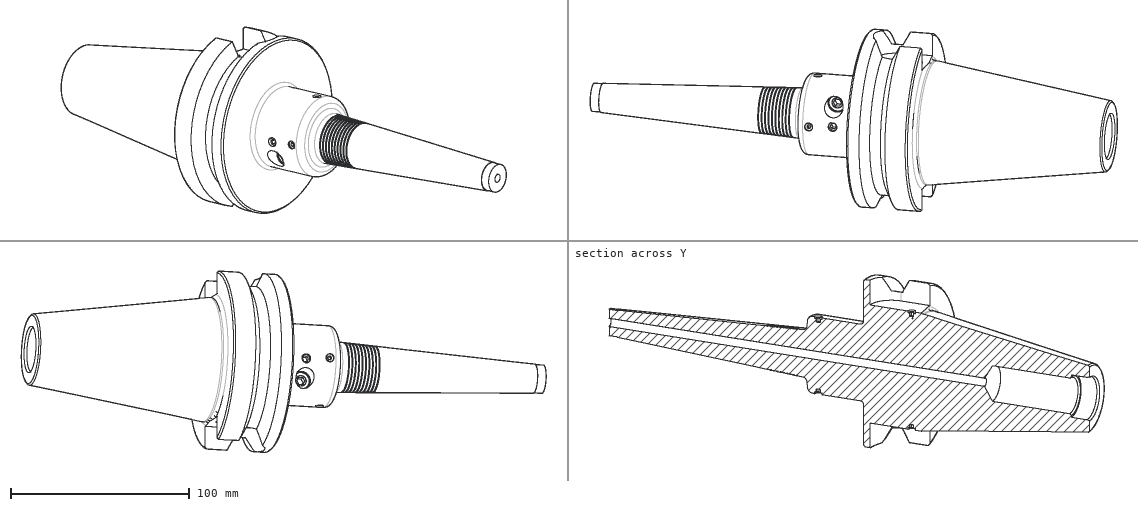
import cadquery as cq
import math


gauge_radius = 69.85 / 2
taper_length = 101.8
taper_slope = 7 / 48
shank_end_radius = gauge_radius - taper_length * taper_slope
shank_end_chamfer = 0.9

flange_radius = 50.0
flange_start = 3.0
flange_end = 38.0
flange_chamfer = 1.0
root_fillet = 2.0
groove_centre = 23.1
groove_floor_radius = 42.5
groove_floor_width = 6.2
groove_half_angle = math.radians(30)

slot_width = 25.7
slot_floor = 35.3
slot_end = 33.7

body_radius = 23.0
body_end = 73.0
body_root_fillet = 2.0
body_end_fillet = 3.4
end_face_rise = 0.3

tip_x = 195.0
tip_radius = 8.0
tip_length = 5.0
nose_slope = math.tan(math.radians(3))
nose_root_fillet = 2.5

ring_first_x = 78.97
ring_pitch = 2.0
ring_count = 10
ring_width = 0.45
ring_depth = 0.3
ring_clearance = 1.0

pilot_radius = 12.5
pilot_depth = 11.2
pilot_chamfer = 0.5
pilot_chamfer_length = 1.5
lead_in_radius = 11.5
drill_radius = 10.5
drill_depth = 60.0
drill_tip_half_angle = math.radians(59)
coolant_diameter = 4.6

screw_diameter = 4.5
screw_recess = 1.0
screw_hex = 2.0
screw_hex_depth = 2.0
body_screw_x = 65.9
slot_screw_x = 8.2

clamp_x = 52.1
clamp_offset = 11.6
clamp_diameter = 10.5
clamp_floor = 12.0
clamp_seat_diameter = 9.4
clamp_seat_depth = 0.5
clamp_socket_rim_diameter = 6.0
clamp_socket_rim_depth = 0.5
clamp_hex = 4.0
clamp_hex_depth = 4.0
filler_diameter = 5.0
filler_offset = 1.1
filler_recess = 2.0
filler_hex = 3.0
filler_hex_depth = 3.0


def nose_radius(x):
    """Radius of the nose cone, which would reach the tip radius at the tip face."""
    return tip_radius + (tip_x - x) * nose_slope


def arc_middle(centre_x, centre_r, radius, angle):
    """Point of a profile arc at the given angle in degrees from +X about its centre."""
    turn_angle = math.radians(angle)
    return centre_x + radius * math.cos(turn_angle), centre_r + radius * math.sin(turn_angle)


def revolve_x(profile):
    return profile.close().revolve(360, (0, 0, 0), (1, 0, 0))


def turned_body():
    groove_half_floor = groove_floor_width / 2
    groove_depth = flange_radius - groove_floor_radius
    groove_half_mouth = groove_half_floor + groove_depth * math.tan(groove_half_angle)
    nose_root_end = body_end + nose_root_fillet
    nose_root_radius = nose_radius(nose_root_end)
    shoulder_x = body_end - end_face_rise
    profile = (
        cq.Workplane("XY")
        .moveTo(-taper_length, 0)
        .lineTo(-taper_length, shank_end_radius - shank_end_chamfer)
        .lineTo(-taper_length + shank_end_chamfer, shank_end_radius)
        .lineTo(0, gauge_radius)
        .lineTo(flange_start - root_fillet, gauge_radius)
        .threePointArc(
            arc_middle(flange_start - root_fillet, gauge_radius + root_fillet, root_fillet, -45),
            (flange_start, gauge_radius + root_fillet),
        )
        .lineTo(flange_start, flange_radius - flange_chamfer)
        .lineTo(flange_start + flange_chamfer, flange_radius)
        .lineTo(groove_centre - groove_half_mouth, flange_radius)
        .lineTo(groove_centre - groove_half_floor, groove_floor_radius)
        .lineTo(groove_centre + groove_half_floor, groove_floor_radius)
        .lineTo(groove_centre + groove_half_mouth, flange_radius)
        .lineTo(flange_end - flange_chamfer, flange_radius)
        .lineTo(flange_end, flange_radius - flange_chamfer)
        .lineTo(flange_end, body_radius + body_root_fillet)
        .threePointArc(
            arc_middle(flange_end + body_root_fillet, body_radius + body_root_fillet, body_root_fillet, 225),
            (flange_end + body_root_fillet, body_radius),
        )
        .lineTo(shoulder_x - body_end_fillet, body_radius)
        .threePointArc(
            arc_middle(shoulder_x - body_end_fillet, body_radius - body_end_fillet, body_end_fillet, 45),
            (shoulder_x, body_radius - body_end_fillet),
        )
        .lineTo(body_end, nose_root_radius + nose_root_fillet)
        .threePointArc(
            arc_middle(nose_root_end, nose_root_radius + nose_root_fillet, nose_root_fillet, 225),
            (nose_root_end, nose_root_radius),
        )
        .lineTo(tip_x - tip_length, nose_radius(tip_x - tip_length))
        .lineTo(tip_x - tip_length, tip_radius)
        .lineTo(tip_x, tip_radius)
        .lineTo(tip_x, 0)
    )
    return revolve_x(profile)


def rear_bore():
    pilot_end = -taper_length + pilot_depth
    drill_end = -taper_length + drill_depth
    profile = (
        cq.Workplane("XY")
        .moveTo(-taper_length, 0)
        .lineTo(-taper_length, pilot_radius + pilot_chamfer)
        .lineTo(-taper_length + pilot_chamfer_length, pilot_radius)
        .lineTo(pilot_end, pilot_radius)
        .lineTo(pilot_end, lead_in_radius)
        .lineTo(pilot_end + lead_in_radius - drill_radius, drill_radius)
        .lineTo(drill_end, drill_radius)
        .lineTo(drill_end + drill_radius / math.tan(drill_tip_half_angle), 0)
    )
    return revolve_x(profile)


def coolant_hole():
    return (
        cq.Workplane("YZ", origin=(-taper_length, 0, 0))
        .circle(coolant_diameter / 2)
        .extrude(taper_length + tip_x)
    )


def ring_groove(x):
    return (
        cq.Workplane("YZ", origin=(x, 0, 0))
        .circle(nose_radius(x) + ring_clearance)
        .circle(nose_radius(x) - ring_depth)
        .extrude(ring_width)
    )


def drive_slot():
    """Slot from the shank side into the flange, closed by a half round."""
    arc_centre = slot_end - slot_width / 2
    height = flange_radius - slot_floor
    straight = (
        cq.Workplane("XY", origin=(0, 0, slot_floor))
        .rect(2 * arc_centre, slot_width)
        .extrude(height)
    )
    rounded = cq.Workplane("XY", origin=(arc_centre, 0, slot_floor)).circle(slot_width / 2).extrude(height)
    return straight.union(rounded)


def round_hole(x, y, floor, diameter):
    return cq.Workplane("XY", origin=(x, y, floor)).circle(diameter / 2).extrude(body_radius)


def socket(x, y, floor, diameter, hex_size, hex_depth):
    """Round recess down to the floor height, with a hex socket below it, pointing +Z."""
    recess = round_hole(x, y, floor, diameter)
    hexagon = (
        cq.Workplane("XY", origin=(x, y, floor))
        .polygon(6, hex_size / math.cos(math.pi / 6))
        .extrude(-hex_depth)
    )
    return recess.union(hexagon)


def clamp_pocket():
    seat_height = clamp_floor - clamp_seat_depth
    rim_height = seat_height - clamp_socket_rim_depth
    bore = round_hole(clamp_x, -clamp_offset, clamp_floor, clamp_diameter)
    seat = round_hole(clamp_x, -clamp_offset, seat_height, clamp_seat_diameter)
    screw = socket(
        clamp_x, -clamp_offset, rim_height, clamp_socket_rim_diameter, clamp_hex, clamp_hex_depth
    )
    return bore.union(seat).union(screw)


def filler_hole():
    return socket(
        clamp_x, -filler_offset, body_radius - filler_recess, filler_diameter, filler_hex, filler_hex_depth
    )


def turn(shape, angle):
    return shape.rotate((0, 0, 0), (1, 0, 0), angle)


result = turned_body().cut(rear_bore()).cut(coolant_hole())

for i in range(ring_count):
    result = result.cut(ring_groove(ring_first_x + i * ring_pitch))

body_screw = socket(body_screw_x, 0, body_radius - screw_recess, screw_diameter, screw_hex, screw_hex_depth)
for angle in (0, 90, 180, 270):
    result = result.cut(turn(body_screw, angle))

slot_screw = socket(slot_screw_x, 0, slot_floor - screw_recess, screw_diameter, screw_hex, screw_hex_depth)
for angle in (0, 180):
    result = result.cut(turn(drive_slot(), angle)).cut(turn(slot_screw, angle))

for angle in (90, 270):
    result = result.cut(turn(clamp_pocket(), angle)).cut(turn(filler_hole(), angle))